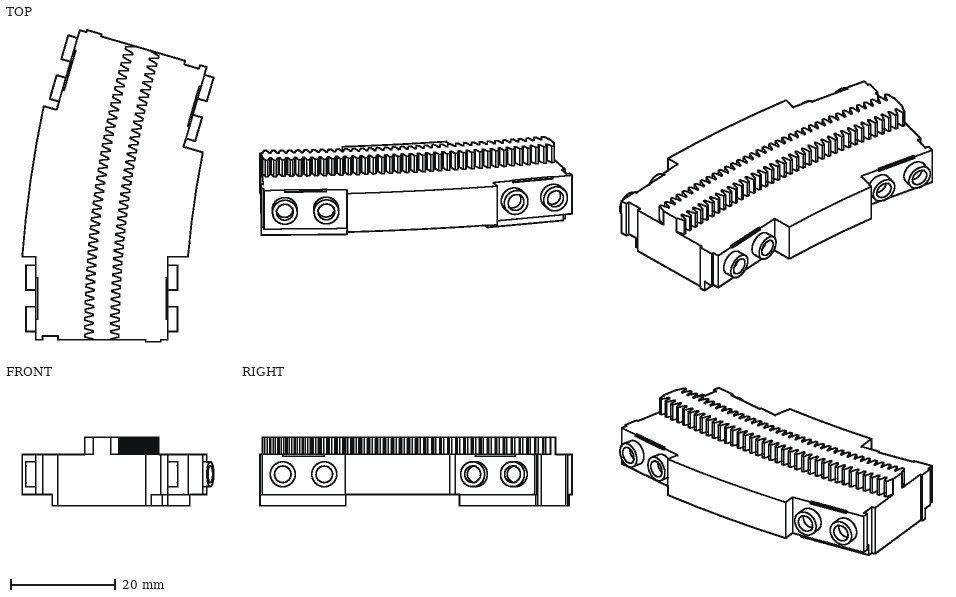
import cadquery as cq
import math

path_radius = 200.5
bend = math.radians(16.2)

body_bottom = 2.15
body_top = 9.9
rack_top = 13.2

middle_half_width = 15.9
end_half_width = 12.7
end_length = 15.95

foot_half_width = 9.5
foot_length = 16.05
foot_wall = 1.0

tab_center = 9.9
tab_width = 2.95
tab_height = 0.4
socket_depth = 0.7

stud_diameter = 4.8
stud_bore = 3.2
stud_length = 1.85
stud_height = 6.05
first_stud = 3.95
stud_spacing = 8.0
relief_depth = 0.35

tooth_count = 36
root_half_width = 1.7
tip_half_width = 3.3
tip_flat = 0.5
root_flat = 0.25


def path_point(offset, angle):
    """Point at a signed offset right of the path, at an angle along the bend."""
    radius = path_radius - offset
    return (path_radius - radius * math.cos(angle), radius * math.sin(angle))


def block(x_min, x_max, y_min, y_max, z_min, z_max):
    size = (x_max - x_min, y_max - y_min, z_max - z_min)
    return cq.Workplane("XY").box(*size, centered=False).translate((x_min, y_min, z_min))


def make_middle():
    """Curved slab whose two end faces are square to the end sections."""
    left_start = math.asin(end_length / (path_radius + middle_half_width))
    right_start = math.asin(end_length / (path_radius - middle_half_width))
    return (
        cq.Workplane("XY")
        .workplane(offset=body_bottom)
        .moveTo(*path_point(-middle_half_width, left_start))
        .threePointArc(
            path_point(-middle_half_width, bend / 2),
            path_point(-middle_half_width, bend - left_start),
        )
        .lineTo(*path_point(middle_half_width, bend - right_start))
        .threePointArc(
            path_point(middle_half_width, bend / 2),
            path_point(middle_half_width, right_start),
        )
        .close()
        .extrude(body_top - body_bottom)
    )


def make_stud(side, y):
    """Stud standing on the left (-1) or right (+1) side face, bored down to that face."""
    face = cq.Plane(origin=(side * end_half_width, y, stud_height), normal=(side, 0, 0))
    return (
        cq.Workplane(face)
        .circle(stud_diameter / 2)
        .circle(stud_bore / 2)
        .extrude(stud_length)
    )


def make_end():
    """End section at the start of the path, with its end face on Y = 0."""
    upper = block(-end_half_width, end_half_width, 0, end_length, body_bottom, body_top)
    foot = block(-foot_half_width, foot_half_width, 0, foot_length, 0, body_bottom)
    pocket_half_width = foot_half_width - foot_wall
    foot_pocket = block(
        -pocket_half_width, pocket_half_width,
        socket_depth + foot_wall, foot_length,
        0, body_bottom,
    )
    tab_start = tab_center - tab_width / 2
    tab_end = tab_center + tab_width / 2
    tab = block(tab_start, tab_end, -tab_height, 0, body_bottom, body_top)
    foot_tab = block(tab_start, foot_half_width, -tab_height, 0, 0, body_bottom)
    socket = block(-tab_end, -tab_start, 0, socket_depth, 0, body_top)
    end = upper.union(foot.cut(foot_pocket)).union(tab).union(foot_tab).cut(socket)

    last_stud = first_stud + stud_spacing
    for side in (-1, 1):
        inner, outer = sorted((side * (end_half_width - relief_depth), side * end_half_width))
        end = end.cut(
            block(inner, outer, first_stud, last_stud, body_top - relief_depth, body_top)
        )
        for y in (first_stud, last_stud):
            end = end.union(make_stud(side, y))
    return end


def tooth_edge(side):
    """Points along one toothed side of the rack, from the start of the path to its end."""
    pitch = bend / tooth_count
    half_tip = tip_flat / path_radius / 2
    half_root = root_flat / path_radius / 2
    points = [path_point(side * root_half_width, 0)]
    for tooth in range(tooth_count):
        start = tooth * pitch
        middle = start + pitch / 2
        points += [
            path_point(side * root_half_width, start + half_root),
            path_point(side * tip_half_width, middle - half_tip),
            path_point(side * tip_half_width, middle + half_tip),
            path_point(side * root_half_width, start + pitch - half_root),
        ]
    points.append(path_point(side * root_half_width, bend))
    return points


def make_rack():
    outline = tooth_edge(-1) + tooth_edge(1)[::-1]
    return (
        cq.Workplane("XY")
        .workplane(offset=body_top)
        .polyline(outline)
        .close()
        .extrude(rack_top - body_top)
    )


near_end = make_end()

far_end = near_end.rotate((0, 0, 0), (0, 0, 1), 180).rotate(
    (path_radius, 0, 0), (path_radius, 0, 1), -math.degrees(bend)
)

result = make_middle().union(near_end).union(far_end).union(make_rack())